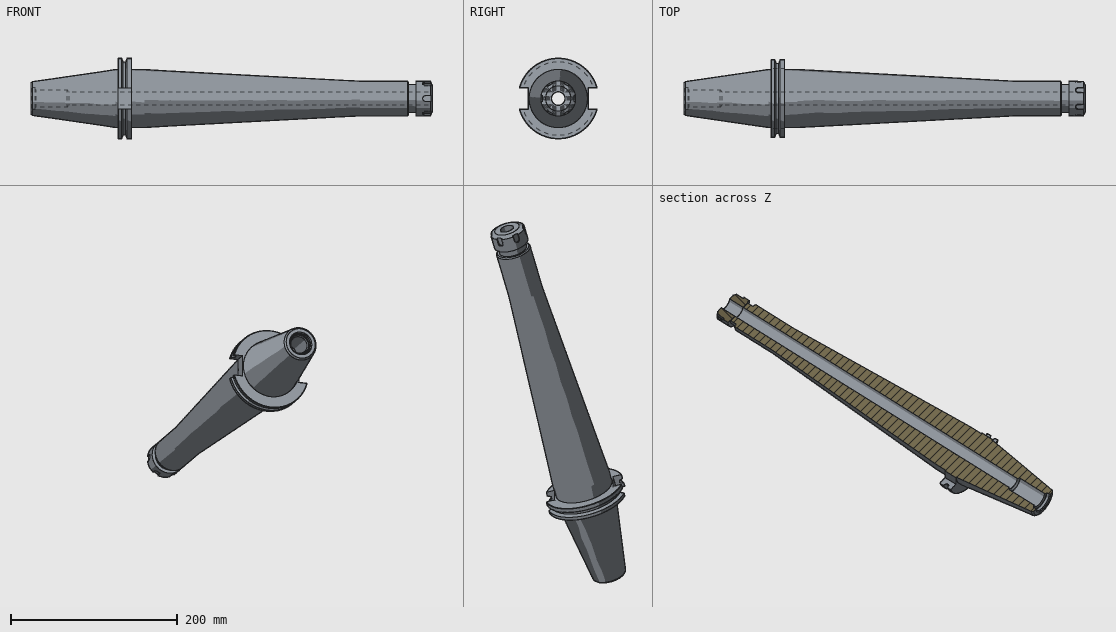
import cadquery as cq

total_length = 482.5
taper_length = 102.0
flange_start = 104.5
flange_end = 121.0
collar_end = 137.0
shank_start = 395.7
shank_end = 453.5
nut_start = 462.5

gauge_dia = 70.0
flange_dia = 97.0
shank_dia = 42.0
neck_dia = 34.0
nut_dia = shank_dia
nut_face_dia = 30.5

small_end_chamfer = 2.0
flange_chamfer = 0.5
shank_chamfer = 1.5
nut_chamfer_length = 3.0

taper_ratio = 7 / 24
small_end_dia = gauge_dia - taper_ratio * (taper_length - small_end_chamfer)

groove_center = 112.5
groove_width = 6.8
groove_floor_width = 3.0
groove_depth = 4.5

drive_slot_width = 25.5
drive_slot_floor = 36.0

through_bore_dia = 16.0
entry_rim_dia = 28.5
entry_bore_dia = 26.0
thread_rim_dia = 23.5
thread_bore_dia = 20.8
entry_bore_depth = 5.0
thread_bore_depth = 43.5

wrench_slot_count = 6
wrench_slot_width = 6.8
wrench_slot_length = 12.0
wrench_slot_depth = 2.0


def revolve_about_x(points):
    """Solid of revolution about X from an (x, radius) outline."""
    return cq.Workplane("XY").polyline(points).close().revolve(360, (0, 0, 0), (1, 0, 0))


def make_outer_body():
    """Taper, flange, long conical shank and neck as one turned shape."""
    gauge_r = gauge_dia / 2
    flange_r = flange_dia / 2
    shank_r = shank_dia / 2
    small_end_r = small_end_dia / 2
    return revolve_about_x([
        (0, 0),
        (0, small_end_r - small_end_chamfer),
        (small_end_chamfer, small_end_r),
        (taper_length, gauge_r),
        (flange_start, gauge_r),
        (flange_start, flange_r - flange_chamfer),
        (flange_start + flange_chamfer, flange_r),
        (flange_end - flange_chamfer, flange_r),
        (flange_end, flange_r - flange_chamfer),
        (flange_end, gauge_r),
        (collar_end, gauge_r),
        (shank_start, shank_r),
        (shank_end - shank_chamfer, shank_r),
        (shank_end, shank_r - shank_chamfer),
        (shank_end, neck_dia / 2),
        (nut_start, neck_dia / 2),
        (nut_start, 0),
    ])


def make_gripper_groove():
    """Ring with a trapezoidal section, cut into the flange rim."""
    rim_r = flange_dia / 2
    floor_r = rim_r - groove_depth
    return revolve_about_x([
        (groove_center - groove_width / 2, rim_r),
        (groove_center - groove_floor_width / 2, floor_r),
        (groove_center + groove_floor_width / 2, floor_r),
        (groove_center + groove_width / 2, rim_r),
    ])


def make_drive_slot(side):
    """Block that cuts one drive slot; side is +1 for +Y and -1 for -Y."""
    depth = flange_dia / 2 - drive_slot_floor
    return cq.Workplane("XY").box(
        flange_end - flange_start, depth, drive_slot_width, centered=(False, True, True)
    ).translate((flange_start, side * (drive_slot_floor + depth / 2), 0))


def make_stepped_bore():
    """Entry bore, threaded bore and through bore, with a chamfer at each step."""
    entry_chamfer = (entry_rim_dia - entry_bore_dia) / 2
    thread_chamfer = (thread_rim_dia - thread_bore_dia) / 2
    bottom_chamfer = (thread_bore_dia - through_bore_dia) / 2
    return revolve_about_x([
        (0, 0),
        (0, entry_rim_dia / 2),
        (entry_chamfer, entry_bore_dia / 2),
        (entry_bore_depth, entry_bore_dia / 2),
        (entry_bore_depth, thread_rim_dia / 2),
        (entry_bore_depth + thread_chamfer, thread_bore_dia / 2),
        (thread_bore_depth, thread_bore_dia / 2),
        (thread_bore_depth + bottom_chamfer, through_bore_dia / 2),
        (nut_start, through_bore_dia / 2),
        (nut_start, 0),
    ])


def make_holder():
    """Tool holder with its groove, drive slots and bore."""
    holder = make_outer_body().cut(make_gripper_groove())
    for side in (1, -1):
        holder = holder.cut(make_drive_slot(side))
    return holder.cut(make_stepped_bore())


def make_wrench_slot(angle):
    """Round-ended slot cutter, open at the nut face, turned about X from -Y."""
    slot_r = wrench_slot_width / 2
    floor_y = -(nut_dia / 2 - wrench_slot_depth)
    round_center_x = total_length - wrench_slot_length + slot_r
    return (
        cq.Workplane("XZ", origin=(0, floor_y, 0))
        .moveTo(total_length, -slot_r)
        .lineTo(round_center_x, -slot_r)
        .threePointArc((round_center_x - slot_r, 0), (round_center_x, slot_r))
        .lineTo(total_length, slot_r)
        .close()
        .extrude(2 * wrench_slot_depth)
        .rotate((0, 0, 0), (1, 0, 0), angle)
    )


def make_nut():
    """Clamping nut with a bevelled front and wrench slots."""
    nut = revolve_about_x([
        (nut_start, through_bore_dia / 2),
        (nut_start, nut_dia / 2),
        (total_length - nut_chamfer_length, nut_dia / 2),
        (total_length, nut_face_dia / 2),
        (total_length, through_bore_dia / 2),
    ])
    for index in range(wrench_slot_count):
        nut = nut.cut(make_wrench_slot(index * 360 / wrench_slot_count))
    return nut


holder = make_holder()
nut = make_nut()
result = cq.Compound.makeCompound([holder.val(), nut.val()])